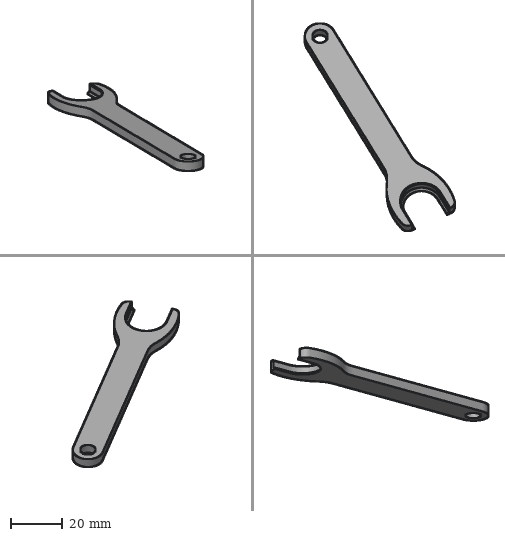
import cadquery as cq
import math


thickness = 4.0
overall_length = 100.0
head_width = 24.44
jaw_depth = 8.0
tip_x = -jaw_depth

handle_width = 12.0
handle_end_radius = handle_width / 2
hanging_hole_diameter = 6.0
hanging_hole_x = tip_x + overall_length - handle_end_radius

flank_radius = 25.7
neck_radius = 10.0
tip_radius = 3.0

jaw_width = 16.2
lip_depth = 1.0
top_chamfer = 0.3


def midpoint_on_arc(center, radius, start, end):
    """Point on the arc halfway between two points of the circle."""
    across_x = (start[0] + end[0]) / 2 - center[0]
    across_y = (start[1] + end[1]) / 2 - center[1]
    stretch = radius / math.hypot(across_x, across_y)
    return (center[0] + across_x * stretch, center[1] + across_y * stretch)


def point_towards(start, target, distance):
    """Point at a given distance from start on the way to target."""
    ratio = distance / math.dist(start, target)
    return (start[0] + (target[0] - start[0]) * ratio, start[1] + (target[1] - start[1]) * ratio)


def make_half_body():
    """Half of the spanner blank, on the +Y side of its axis."""
    half_handle = handle_width / 2
    flank_center = (0, head_width / 2 - flank_radius)

    neck_center_y = half_handle + neck_radius
    neck_rise = neck_center_y - flank_center[1]
    neck_center = (math.sqrt((flank_radius + neck_radius) ** 2 - neck_rise**2), neck_center_y)
    neck_start = point_towards(flank_center, neck_center, flank_radius)
    neck_end = (neck_center[0], half_handle)

    tip_center_x = tip_x + tip_radius
    tip_rise = math.sqrt((flank_radius - tip_radius) ** 2 - tip_center_x**2)
    tip_center = (tip_center_x, flank_center[1] + tip_rise)
    tip_start = (tip_x, tip_center[1])
    tip_end = point_towards(flank_center, tip_center, flank_radius)

    handle_end_center = (hanging_hole_x, 0)
    handle_edge_end = (hanging_hole_x, half_handle)
    handle_tip = (hanging_hole_x + handle_end_radius, 0)

    outline = (
        cq.Workplane("XY")
        .moveTo(tip_x, 0)
        .lineTo(*tip_start)
        .threePointArc(midpoint_on_arc(tip_center, tip_radius, tip_start, tip_end), tip_end)
        .threePointArc((0, head_width / 2), neck_start)
        .threePointArc(midpoint_on_arc(neck_center, neck_radius, neck_start, neck_end), neck_end)
        .lineTo(*handle_edge_end)
        .threePointArc(
            midpoint_on_arc(handle_end_center, handle_end_radius, handle_edge_end, handle_tip),
            handle_tip,
        )
        .close()
    )
    return outline.extrude(thickness)


def make_body():
    half = make_half_body()
    return half.union(half.mirror("XZ")).clean()


def make_jaw_opening():
    """Open slot with a round seat; its wall slopes in at the bottom and out at the top."""
    seat_radius = jaw_width / 2
    lip_radius = seat_radius - lip_depth
    rim_radius = seat_radius + top_chamfer
    wall_profile = [
        (0, 0),
        (lip_radius, 0),
        (seat_radius, lip_depth),
        (seat_radius, thickness - top_chamfer),
        (rim_radius, thickness),
        (0, thickness),
    ]
    seat = cq.Workplane("XZ").polyline(wall_profile).close().revolve(360, (0, 0), (0, 1))
    half_slot = cq.Workplane("YZ").polyline(wall_profile).close().extrude(tip_x)
    return seat.union(half_slot).union(half_slot.mirror("XZ"))


def make_hanging_hole():
    return cq.Workplane("XY").center(hanging_hole_x, 0).circle(hanging_hole_diameter / 2).extrude(thickness)


result = make_body().cut(make_jaw_opening()).cut(make_hanging_hole())